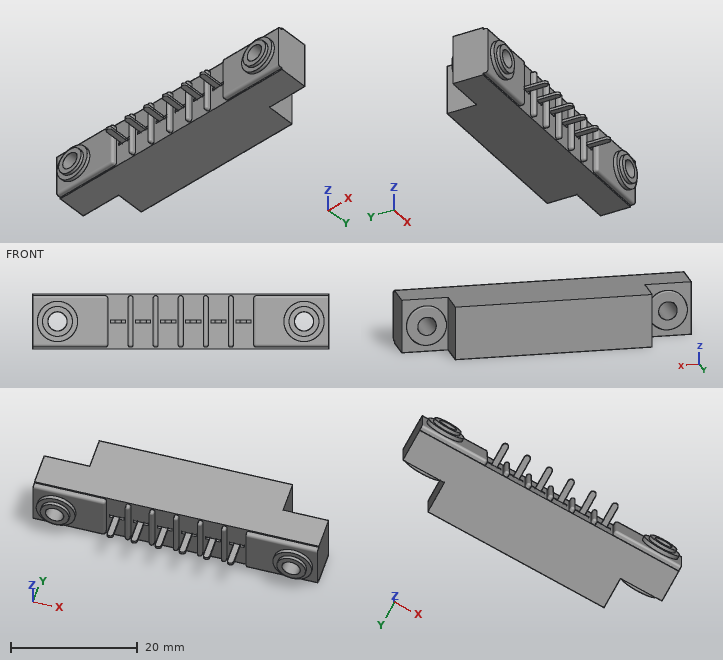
import cadquery as cq


HOUSING_LENGTH = 46.8
HOUSING_HEIGHT = 8.7
EAR_DEPTH = 5.47
CENTRE_DEPTH = 10.85
CENTRE_LENGTH = 31.8

STANDOFF_DEPTH = 0.9
STANDOFF_HEIGHT = 8.15
PAD_LENGTH = 11.9
PAD_EDGE_RADIUS = 0.445
RIB_RADIUS = 0.4

PIN_COUNT = 6
PIN_SPAN = 19.8
PITCH = PIN_SPAN / (PIN_COUNT - 1)
PIN_WIDTH = 1.05
PIN_THICKNESS = 0.45
PIN_PROTRUSION = 4.02
SLOT_LENGTH = 2.4
SLOT_DEPTH = 0.95

BUSHING_SPACING = 38.95
BORE_DIAMETER = 3.0
SHANK_DIAMETER = 4.73
FLANGE_DIAMETER = 6.35
FLANGE_THICKNESS = 0.7
SHANK_PROTRUSION = 0.55
FLANGE_RIM_RADIUS = 0.15

PIN_POSITIONS = [PITCH * (i - (PIN_COUNT - 1) / 2) for i in range(PIN_COUNT)]
RIB_POSITIONS = [x + PITCH / 2 for x in PIN_POSITIONS[:-1]]
BUSHING_POSITIONS = [-BUSHING_SPACING / 2, BUSHING_SPACING / 2]


def block(length, height, y_front, y_rear, x_centre=0.0):
    """Box centred on x_centre and on Z, between two Y positions."""
    box = cq.Workplane("XY").box(length, y_rear - y_front, height)
    return box.translate((x_centre, (y_front + y_rear) / 2, 0))


def y_cylinder(diameter, y_front, y_rear):
    """Cylinder along Y between two Y positions."""
    circle = cq.Workplane("XZ", origin=(0, y_rear, 0)).circle(diameter / 2)
    return circle.extrude(y_rear - y_front)


def make_end_pad():
    """Pad at the +X end, rounded on every free edge but those of the outer end."""
    x_centre = (HOUSING_LENGTH - PAD_LENGTH) / 2
    pad = block(PAD_LENGTH, STANDOFF_HEIGHT, -STANDOFF_DEPTH, 0, x_centre)
    pad = pad.faces("<X").edges("|Y").fillet(PAD_EDGE_RADIUS)
    return pad.faces("<Y").edges("not >X").fillet(PAD_EDGE_RADIUS)


def make_rib():
    """Upright rib with a half-round front and spherical ends."""
    axis_y = RIB_RADIUS - STANDOFF_DEPTH
    straight_height = STANDOFF_HEIGHT - 2 * RIB_RADIUS
    base = (
        cq.Workplane("XZ")
        .slot2D(STANDOFF_HEIGHT, 2 * RIB_RADIUS, 90)
        .extrude(-axis_y)
    )
    nose = cq.Workplane("XY").circle(RIB_RADIUS).extrude(straight_height / 2, both=True)
    for end in (-1, 1):
        ball = cq.Workplane("XY").sphere(RIB_RADIUS)
        nose = nose.union(ball.translate((0, 0, end * straight_height / 2)))
    return base.union(nose.translate((0, axis_y, 0)))


def make_housing():
    housing = block(HOUSING_LENGTH, HOUSING_HEIGHT, 0, EAR_DEPTH)
    housing = housing.union(block(CENTRE_LENGTH, HOUSING_HEIGHT, 0, CENTRE_DEPTH))
    pad = make_end_pad()
    housing = housing.union(pad).union(pad.mirror("YZ"))
    rib = make_rib()
    for x in RIB_POSITIONS:
        housing = housing.union(rib.translate((x, 0, 0)))
    for x in PIN_POSITIONS:
        housing = housing.cut(block(SLOT_LENGTH, PIN_THICKNESS, 0, SLOT_DEPTH, x))
    shank_hole = y_cylinder(SHANK_DIAMETER, -STANDOFF_DEPTH, EAR_DEPTH)
    for x in BUSHING_POSITIONS:
        housing = housing.cut(shank_hole.translate((x, 0, 0)))
    return housing


def make_pin():
    """Flat terminal seated on its slot floor, with a half-round tip."""
    half_width = PIN_WIDTH / 2
    tip_start_y = half_width - PIN_PROTRUSION
    outline = (
        cq.Workplane("XY")
        .moveTo(half_width, SLOT_DEPTH)
        .lineTo(-half_width, SLOT_DEPTH)
        .lineTo(-half_width, tip_start_y)
        .threePointArc((0, -PIN_PROTRUSION), (half_width, tip_start_y))
        .close()
    )
    return outline.extrude(PIN_THICKNESS / 2, both=True)


def make_bushing():
    """Tubular eyelet that clamps the ear between two flanges."""
    front_flange_y = -STANDOFF_DEPTH - FLANGE_THICKNESS
    rear_flange_y = EAR_DEPTH + FLANGE_THICKNESS
    front_end = front_flange_y - SHANK_PROTRUSION
    flange = y_cylinder(FLANGE_DIAMETER, 0, FLANGE_THICKNESS)
    flange = flange.faces(">Y").edges().fillet(FLANGE_RIM_RADIUS)
    front_flange = flange.translate((0, front_flange_y, 0))
    rear_flange = flange.translate((0, EAR_DEPTH, 0))
    shank = y_cylinder(SHANK_DIAMETER, front_end, rear_flange_y)
    bore = y_cylinder(BORE_DIAMETER, front_end, rear_flange_y)
    return shank.union(front_flange).union(rear_flange).cut(bore)


housing = make_housing()
pins = [make_pin().translate((x, 0, 0)) for x in PIN_POSITIONS]
bushings = [make_bushing().translate((x, 0, 0)) for x in BUSHING_POSITIONS]

result = cq.Compound.makeCompound(
    [housing.val()] + [pin.val() for pin in pins] + [bushing.val() for bushing in bushings]
)